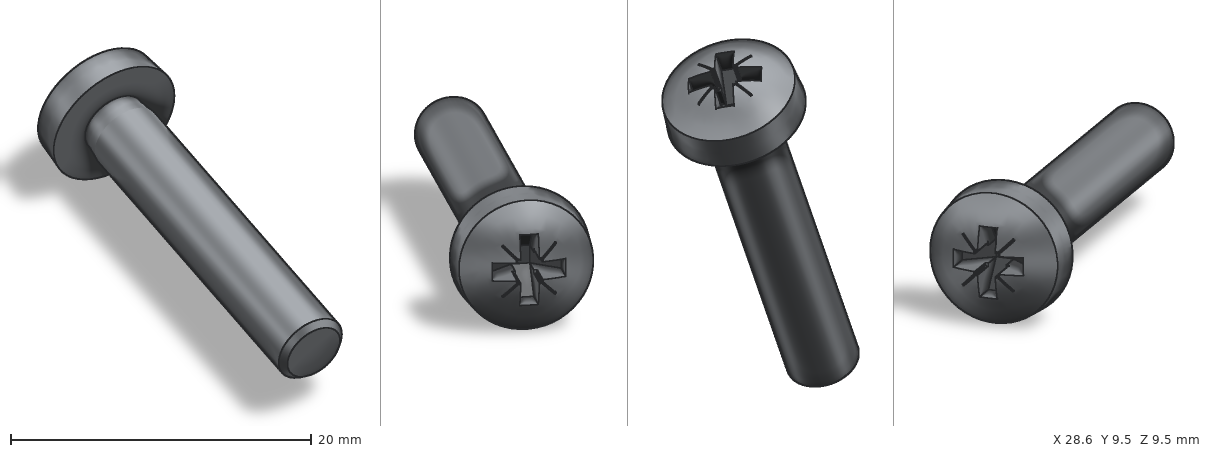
import cadquery as cq
import math

overall_length = 28.65

head_height = 3.67
head_radius = 4.75
dome_height = 1.37
dome_rim_radius = 4.55

shank_radius = 2.5
neck_radius = 2.3
neck_straight_end = 3.85
neck_taper_end = 5.2
tip_chamfer = 0.43

arm_width = 1.25
arm_reach = 2.5
arm_end_depth = 2.0
recess_depth = 3.45
rib_width = 0.11
rib_depth = 1.72
rib_reach = 2.55
core_width = 0.3
core_reach = 1.15

inner_edge_radius = math.hypot(arm_width / 2, arm_width / 2 + core_width / math.sqrt(2))
dome_center = (dome_rim_radius**2 + dome_height**2 - inner_edge_radius**2) / (2 * dome_height)
dome_radius = math.hypot(dome_center, inner_edge_radius)
dome_apex = dome_center - dome_radius


def dome_x(radius):
    """X position of the dome surface at a distance from the axis."""
    return dome_center - math.sqrt(dome_radius**2 - radius**2)


def screw_body():
    """Head, tapered neck and shank as one revolved profile."""
    mid_radius = dome_rim_radius / 2
    profile = (
        cq.Workplane("XY")
        .moveTo(dome_apex, 0)
        .threePointArc((dome_x(mid_radius), mid_radius), (dome_height, dome_rim_radius))
        .lineTo(head_height, head_radius)
        .lineTo(head_height, neck_radius)
        .lineTo(neck_straight_end, neck_radius)
        .lineTo(neck_taper_end, shank_radius)
        .lineTo(overall_length - tip_chamfer, shank_radius)
        .lineTo(overall_length, shank_radius - tip_chamfer)
        .lineTo(overall_length, 0)
        .close()
    )
    return profile.revolve(360, (0, 0, 0), (1, 0, 0))


def cross_arm():
    """Cutter for two opposite arms: straight end walls, floors sloping down to a flat centre."""
    half_center = arm_width / 2
    return (
        cq.Workplane("XZ")
        .moveTo(dome_apex, -arm_reach)
        .lineTo(arm_end_depth, -arm_reach)
        .lineTo(recess_depth, -half_center)
        .lineTo(recess_depth, half_center)
        .lineTo(arm_end_depth, arm_reach)
        .lineTo(dome_apex, arm_reach)
        .close()
        .extrude(half_center, both=True)
    )


def straight_slot(reach, width, depth):
    """Cutter of constant section across the axis, running from the dome apex to a flat floor."""
    return cq.Workplane("YZ").workplane(offset=dome_apex).rect(width, 2 * reach).extrude(depth - dome_apex)


def rotated(cutter, angle):
    return cutter.rotate((0, 0, 0), (1, 0, 0), angle)


arm = cross_arm()
rib = straight_slot(rib_reach, rib_width, rib_depth)
core = straight_slot(core_reach, core_width, arm_end_depth)

result = screw_body()
for quarter_turn in (0, 90):
    result = result.cut(rotated(arm, quarter_turn))
    for cutter in (core, rib):
        result = result.cut(rotated(cutter, quarter_turn + 45))